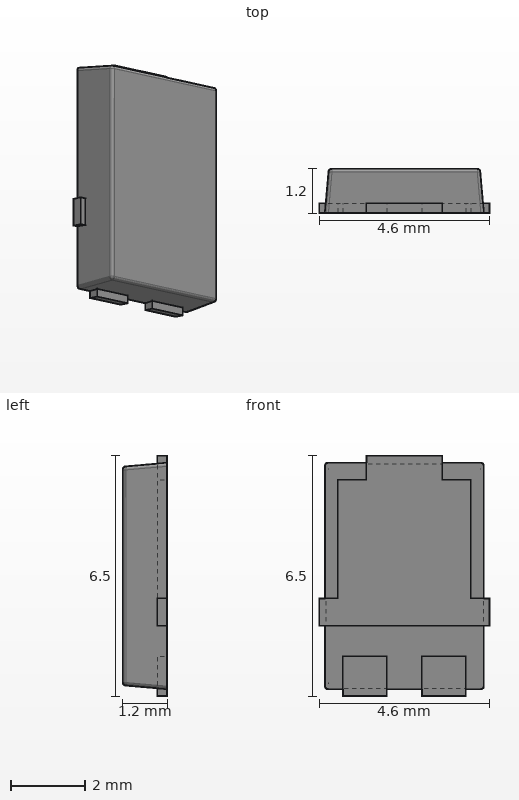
import cadquery as cq

overall_height = 6.5
overall_width = 4.6
depth = 1.2

housing_width = 4.3
housing_height = 6.12
draft_angle = 5.0
edge_radius = 0.09

metal_thickness = 0.27
tongue_width = 2.055
plate_width = 3.59
plate_top = 5.85
crossbar_bottom = 1.905
crossbar_top = 2.645
pad_width = 1.19
pad_height = 1.08
pad_spacing = 2.14


def upright_block(width, bottom, top, center_x=0.0):
    """Metal block standing between two heights, with its front on the mounting face."""
    return cq.Workplane("XY").box(
        width, metal_thickness, top - bottom, centered=(True, False, False)
    ).translate((center_x, 0, bottom))


def make_tab():
    """Heat tab: a wide crossbar, a plate above it and a tongue at the top."""
    crossbar = upright_block(overall_width, crossbar_bottom, crossbar_top)
    plate = upright_block(plate_width, crossbar_bottom, plate_top)
    tongue = upright_block(tongue_width, crossbar_bottom, overall_height)
    return crossbar.union(plate).union(tongue).clean()


def make_pad(center_x):
    """Terminal pad projecting below the housing."""
    return upright_block(pad_width, 0, pad_height, center_x)


def make_housing(inserts):
    """Drafted, rounded housing with a matching recess for each metal insert."""
    mounting_plane = cq.Plane(
        origin=(0, 0, overall_height / 2), xDir=(-1, 0, 0), normal=(0, 1, 0)
    )
    body = (
        cq.Workplane(mounting_plane)
        .rect(housing_width, housing_height)
        .extrude(depth, taper=draft_angle)
    )
    body = body.edges("not <Y").fillet(edge_radius)
    for insert in inserts:
        body = body.cut(insert)
    return body


tab = make_tab()
pads = [make_pad(side * pad_spacing / 2) for side in (-1, 1)]
housing = make_housing([tab, *pads])

result = cq.Compound.makeCompound([housing.val(), tab.val(), *[pad.val() for pad in pads]])